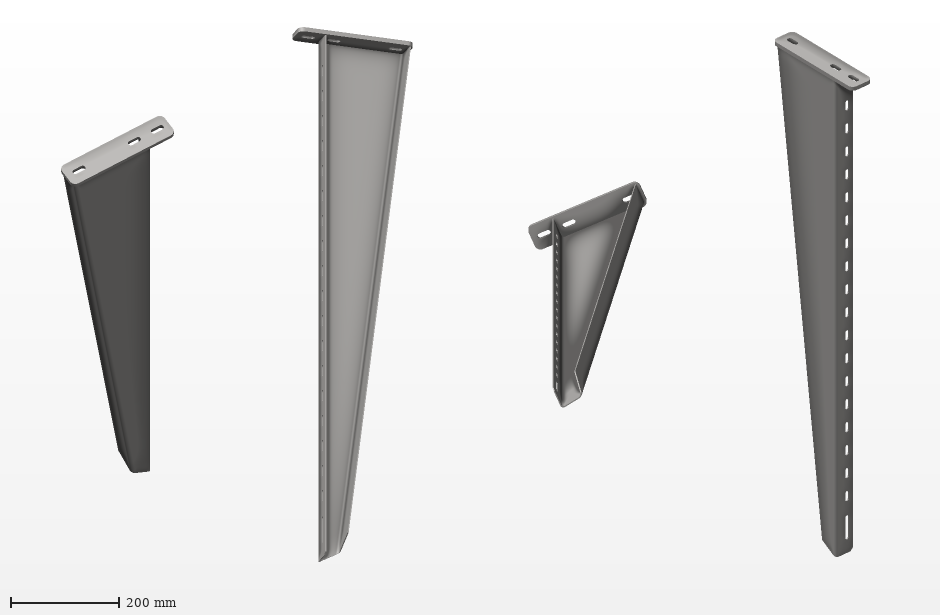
import cadquery as cq
import math

total_height = 1048.0
plate_width = 50.0
plate_length = 225.0
plate_thickness = 8.0
plate_corner_radius = 12.0
plate_slot_width = 10.0
plate_slot_length = 26.0
plate_slot_offsets = (25.0, 75.0, 197.0)

channel_width = 43.0
sheet_thickness = 2.0
bend_inner_radius = 5.0
back_setback = 51.0
top_depth = 169.0
foot_depth = 43.0
foot_rise = 25.0
front_flange_rise = 25.0
back_corner_chamfer = 6.0

slot_width = 7.0
slot_length = 22.0
slot_count = 18
lowest_slot_height = 124.0
highest_slot_height = 974.0
foot_slot_length = 52.0
foot_slot_height = 56.0
slot_edge_distance = 15.0

plate_bottom = total_height - plate_thickness
plate_back = plate_length / 2
channel_back = plate_back - back_setback
front_top = channel_back - top_depth
front_foot = channel_back - foot_depth
free_edge = -channel_width / 2
web_outer = channel_width / 2
web_inner = web_outer - sheet_thickness
bend_outer_radius = bend_inner_radius + sheet_thickness
slot_pitch = (highest_slot_height - lowest_slot_height) / (slot_count - 1)
front_lean = math.atan2(top_depth - foot_depth, plate_bottom - foot_rise)


def make_head_plate():
    plate = (
        cq.Workplane("XY", origin=(0, 0, plate_bottom))
        .rect(plate_width, plate_length)
        .extrude(plate_thickness)
        .edges("|Z")
        .fillet(plate_corner_radius)
    )
    slot_centres = [(0, plate_back - offset) for offset in plate_slot_offsets]
    slots = (
        cq.Workplane("XY", origin=(0, 0, plate_bottom))
        .pushPoints(slot_centres)
        .slot2D(plate_slot_length, plate_slot_width, 90)
        .extrude(plate_thickness)
    )
    return plate.cut(slots)


def tapered_prism(back, front_inset, x_end, radius):
    """Full-height wedge from the free edge to x_end, with its two long +X edges rounded.

    front_inset is measured along Y from the outer face of the leaning front flange.
    """
    front_slope = math.tan(front_lean)
    front_bottom = front_foot + foot_rise * front_slope
    return (
        cq.Workplane("YZ", origin=(free_edge, 0, 0))
        .polyline([
            (back, 0),
            (front_bottom + front_inset, 0),
            (front_top + front_inset, plate_bottom),
            (back, plate_bottom),
        ])
        .close()
        .extrude(x_end - free_edge)
        .faces(">X")
        .edges("not |Y")
        .fillet(radius)
    )


def foot_cut():
    """Sloping cut that rises from the back flange to the front flange."""
    return (
        cq.Workplane("YZ", origin=(free_edge, 0, 0))
        .polyline([(channel_back, 0), (front_foot, foot_rise), (front_foot, 0)])
        .close()
        .extrude(channel_width)
    )


def front_flange_cut():
    """Diagonal cut that shortens the front flange toward its free edge."""
    behind_front_flange = front_foot + bend_outer_radius
    bend_start = web_outer - bend_outer_radius
    return (
        cq.Workplane("XZ", origin=(0, behind_front_flange, 0))
        .polyline([
            (bend_start, 0),
            (bend_start, foot_rise),
            (free_edge, foot_rise + front_flange_rise),
            (free_edge, 0),
        ])
        .close()
        .extrude(top_depth)
    )


def back_corner_cut():
    """Chamfer on the free lower corner of the back flange."""
    return (
        cq.Workplane("XZ", origin=(0, channel_back, 0))
        .polyline([
            (free_edge, 0),
            (free_edge + back_corner_chamfer, 0),
            (free_edge, back_corner_chamfer),
        ])
        .close()
        .extrude(sheet_thickness)
    )


def back_flange_slots(heights, length):
    slot_x = free_edge + slot_edge_distance
    return (
        cq.Workplane("XZ", origin=(0, channel_back, 0))
        .pushPoints([(slot_x, height) for height in heights])
        .slot2D(length, slot_width, 90)
        .extrude(sheet_thickness)
    )


def make_channel():
    front_inset = sheet_thickness / math.cos(front_lean)
    outside = tapered_prism(channel_back, 0, web_outer, bend_outer_radius)
    inside = tapered_prism(channel_back - sheet_thickness, front_inset, web_inner, bend_inner_radius)
    channel = outside.cut(inside)
    channel = channel.cut(foot_cut())
    channel = channel.cut(front_flange_cut())
    channel = channel.cut(back_corner_cut())
    slot_heights = [lowest_slot_height + i * slot_pitch for i in range(slot_count)]
    channel = channel.cut(back_flange_slots(slot_heights, slot_length))
    return channel.cut(back_flange_slots([foot_slot_height], foot_slot_length))


head_plate = make_head_plate()
channel = make_channel()

result = cq.Compound.makeCompound([head_plate.val(), channel.val()])